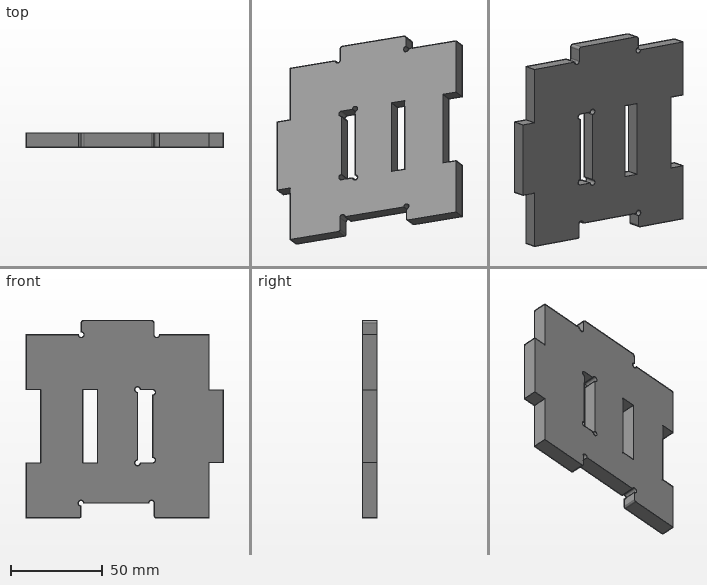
import cadquery as cq

panel_side = 100.0
thickness = 8.0

tab_height = 7.8
tab_width = 39.8
tab_start = (panel_side - tab_width) / 2
tab_end = tab_start + tab_width
tab_corner_radius = 1.5

notch_depth = 8.0
notch_width = 40.0
notch_start = (panel_side - notch_width) / 2
notch_end = notch_start + notch_width
notch_mouth_radius = 1.0

slot_height = notch_width
plain_slot_centre = 35.0
plain_slot_width = 8.0
plain_slot_left = plain_slot_centre - plain_slot_width / 2
relieved_slot_centre = panel_side - plain_slot_centre
relieved_slot_width = 8.2
relieved_slot_left = relieved_slot_centre - relieved_slot_width / 2
relieved_slot_right = relieved_slot_left + relieved_slot_width

relief_radius = 1.5


def block(left, bottom, width, height):
    """Box of full panel thickness, placed by its lower left corner."""
    solid = cq.Workplane("XY").box(width, thickness, height, centered=False)
    return solid.translate((left, 0, bottom))


def cylinders(centres, radius):
    """Cylinders of full panel thickness along Y at the given (x, z) centres."""
    return cq.Workplane("XZ").pushPoints(centres).circle(radius).extrude(-thickness)


def top_tab():
    """Tab on the top edge with rounded outer corners."""
    tab = block(tab_start, panel_side, tab_width, tab_height)
    return tab.edges("|Y and >Z").fillet(tab_corner_radius)


def right_tab():
    """Square-cornered tab on the right edge."""
    return block(panel_side, tab_start, tab_height, tab_width)


def left_notch():
    """Square-cornered notch in the left edge."""
    return block(0, notch_start, notch_depth, notch_width)


def bottom_notch():
    """Notch in the bottom edge, flared by the rounding of its mouth."""
    opening = block(notch_start, 0, notch_width, notch_depth)
    flare_start = notch_start - notch_mouth_radius
    flare_end = notch_end + notch_mouth_radius
    flare = block(flare_start, 0, flare_end - flare_start, notch_mouth_radius)
    rounding_centres = [(x, notch_mouth_radius) for x in (flare_start, flare_end)]
    rounding = cylinders(rounding_centres, notch_mouth_radius)
    return opening.union(flare.cut(rounding))


def edge_reliefs():
    """Reliefs at the foot of the top tab and at the inner end of the bottom notch.

    Left ones sit on the corner itself, right ones sit beside it, tangent to the wall.
    """
    return cylinders(
        [
            (tab_start, panel_side),
            (tab_end + relief_radius, panel_side),
            (notch_start, notch_depth),
            (notch_end - relief_radius, notch_depth),
        ],
        relief_radius,
    )


def plain_slot():
    """Square-cornered slot."""
    return block(plain_slot_left, notch_start, plain_slot_width, slot_height)


def relieved_slot():
    """Slot with a relief in every corner.

    Left ones sit on the corners, right ones on the wall, tangent to the slot ends.
    """
    slot = block(relieved_slot_left, notch_start, relieved_slot_width, slot_height)
    corners = cylinders(
        [
            (relieved_slot_left, notch_start),
            (relieved_slot_left, notch_end),
            (relieved_slot_right, notch_start + relief_radius),
            (relieved_slot_right, notch_end - relief_radius),
        ],
        relief_radius,
    )
    return slot.union(corners)


panel = block(0, 0, panel_side, panel_side).union(top_tab()).union(right_tab())
result = (
    panel.cut(left_notch())
    .cut(bottom_notch())
    .cut(edge_reliefs())
    .cut(plain_slot())
    .cut(relieved_slot())
)